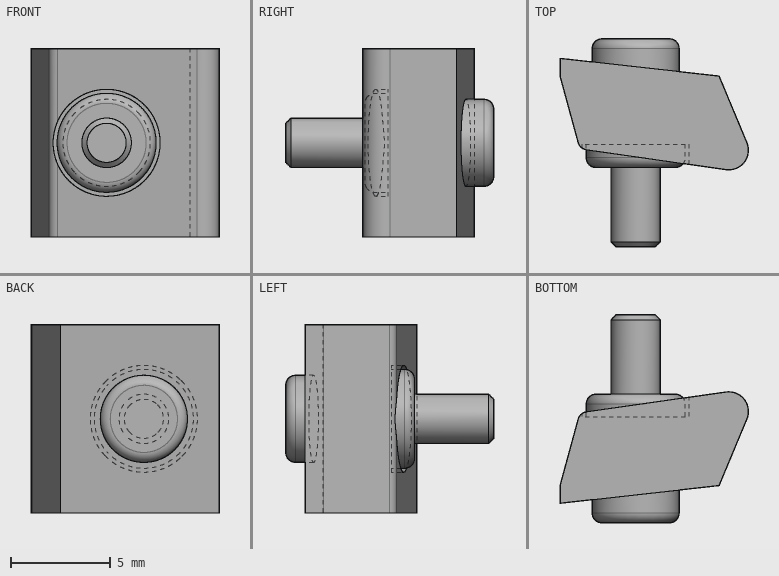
import cadquery as cq

block_height = 9.5
back_left = (-3.81, 9.51)
back_right = (4.21, 8.62)
front_right = (6.29, 3.64)
front_left = (-2.81, 4.95)
left_flat_end = (back_left[0], 8.6)
right_corner_radius = 1.0
left_corner_radius = 0.5

total_length = 10.5
pin_diameter = 2.5
tip_chamfer = 0.26
collar_diameter = 5.0
collar_front = 4.0
back_head_diameter = 4.4
edge_round = 0.5

pocket_diameter = 5.4
pocket_floor = 5.17


def cylinder(diameter, start, end):
    """Cylinder on the Y axis between two Y positions."""
    plane = cq.Workplane("XZ", origin=(0, start, 0))
    return plane.circle(diameter / 2).extrude(start - end)


def make_block():
    outline = [back_left, back_right, front_right, front_left, left_flat_end]
    block = (
        cq.Workplane("XY")
        .polyline(outline)
        .close()
        .extrude(block_height / 2, both=True)
    )
    for corner, radius in (
        (front_right, right_corner_radius),
        (front_left, left_corner_radius),
    ):
        nearest = cq.selectors.NearestToPointSelector((*corner, 0))
        block = block.edges("|Z").edges(nearest).fillet(radius)
    return block


def make_pin():
    return cylinder(pin_diameter, 0, pocket_floor).faces("<Y").chamfer(tip_chamfer)


def make_collar():
    collar = cylinder(collar_diameter, collar_front, pocket_floor)
    return collar.faces("<Y").edges().fillet(edge_round)


def make_back_head():
    head = cylinder(back_head_diameter, pocket_floor, total_length)
    return head.faces(">Y").edges().fillet(edge_round)


pocket = cylinder(pocket_diameter, 0, pocket_floor)
result = make_block().cut(pocket)
result = result.union(make_back_head()).union(make_collar()).union(make_pin())